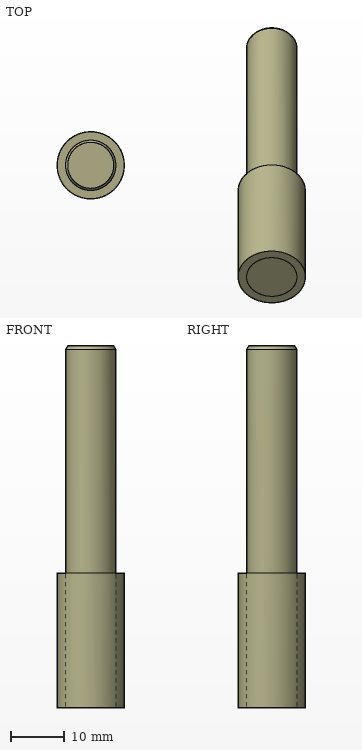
import cadquery as cq

total_length = 68.3
sleeve_diameter = 12.7
sleeve_length = 25.4
pin_diameter = 9.5
chamfer_height = 0.7
chamfer_width = 0.4


def make_pin():
    """Round pin running the full length, with a steep chamfer at its free top end."""
    pin_radius = pin_diameter / 2
    tip_radius = pin_radius - chamfer_width
    half_section = (
        cq.Workplane("XZ")
        .moveTo(0, 0)
        .lineTo(pin_radius, 0)
        .lineTo(pin_radius, total_length - chamfer_height)
        .lineTo(tip_radius, total_length)
        .lineTo(0, total_length)
        .close()
    )
    return half_section.revolve(360, (0, 0), (0, 1))


def make_sleeve():
    """Plain sleeve around the lower end of the pin, bored to the pin diameter."""
    ring = cq.Workplane("XY").circle(sleeve_diameter / 2).circle(pin_diameter / 2)
    return ring.extrude(sleeve_length)


pin = make_pin()
sleeve = make_sleeve()

result = cq.Compound.makeCompound([pin.val(), sleeve.val()])